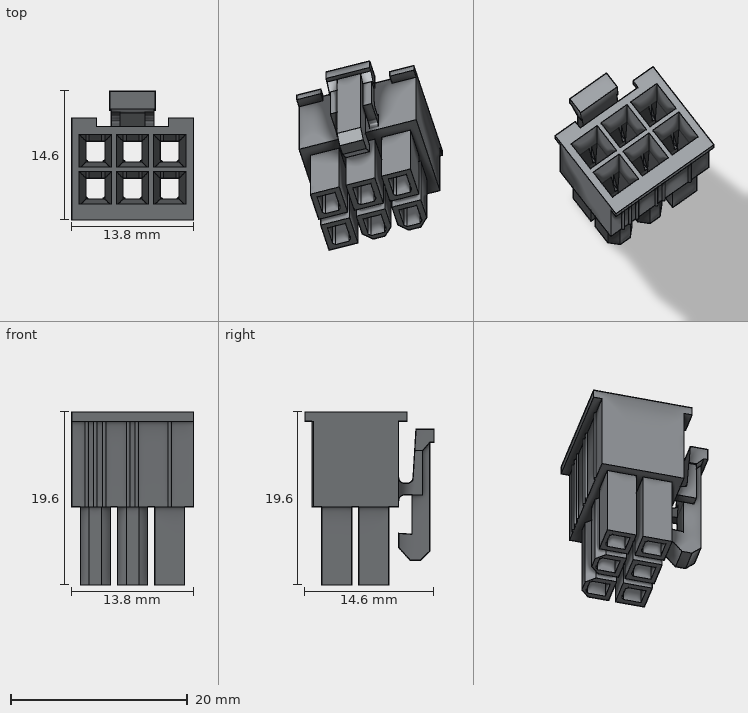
import cadquery as cq


total_height = 19.6
width = 13.8
flange_depth = 11.56
flange_thickness = 1.05
notch_width = 8.11
body_front = 0.98
body_back = 10.6
body_bottom = 8.85

pitch = 4.2
column_x = (-pitch, 0, pitch)
sleeve_size = 3.41
front_row_y = 1.88
row_y = (front_row_y, front_row_y + pitch)
sleeve_chamfer = 1.0

mouth_size = 3.67
passage_width = 2.12
passage_front_gap = 0.5
passage_depth = 2.33
passage_chamfer = 0.27
funnel_bottom = 9.8
funnel_height = 3.43
slot_width = 0.35

rib_radius = 0.2
rib_spacing = 1.0

latch_back = 14.6
head_width = 5.17
head_top = 17.65
head_bottom = 16.15
head_inner_y = 12.55
stem_width = 2.78
stem_back = 14.13
stem_inner_y = 12.1
latch_bottom = 2.82
arm_outer_width = 4.86
arm_back = 13.29
arm_bottom = 10.21
arm_top = 11.55
arm_side_top = 15.2
arm_fillet = 0.65
hook_corner_z = 5.78
hook_tip_z = 5.88
hook_nose_z = 4.25
tip_front_y = 11.9
tip_back_y = 13.07
tip_shoulder_z = 3.86


def block(x_size, x_mid, y0, y1, z0, z1):
    """Box centred on x_mid, spanning y0..y1 and z0..z1."""
    corner_plane = cq.Workplane("XY", origin=(x_mid, y0, z0))
    return corner_plane.box(x_size, y1 - y0, z1 - z0, centered=(True, False, False))


def side_plate(points, x_size):
    """Extrude a (Y, Z) outline symmetrically about X = 0."""
    return cq.Workplane("YZ").polyline(points).close().extrude(x_size / 2, both=True)


def make_housing():
    flange_bottom = total_height - flange_thickness
    flange = block(width, 0, 0, flange_depth, flange_bottom, total_height)
    notch = block(notch_width, 0, body_back, flange_depth, flange_bottom, total_height)
    body = block(width, 0, body_front, body_back, body_bottom, total_height)
    return flange.cut(notch).union(body)


def make_ribs():
    rib_x = []
    for index, x in enumerate(column_x):
        count = len(column_x) - index
        rib_x += [x + (i - (count - 1) / 2) * rib_spacing for i in range(count)]
    rib_height = total_height - flange_thickness - body_bottom
    return (
        cq.Workplane("XY", origin=(0, body_front, body_bottom))
        .pushPoints([(x, 0) for x in rib_x])
        .circle(rib_radius)
        .extrude(rib_height)
    )


def make_sleeve(x, front_y, chamfered):
    sleeve = block(sleeve_size, x, front_y, front_y + sleeve_size, 0, body_bottom)
    if chamfered:
        sleeve = sleeve.faces("<Y").edges("|Z").chamfer(sleeve_chamfer)
    return sleeve


def make_cavity(x, front_y):
    passage_front = front_y + passage_front_gap
    passage_back = passage_front + passage_depth
    side_inset = (mouth_size - passage_width) / 2
    mouth_back = passage_back + side_inset
    mouth_front = mouth_back - mouth_size

    passage = block(passage_width, x, passage_front, passage_back, 0, funnel_bottom)
    passage = passage.faces("<Y").edges("|Z").chamfer(passage_chamfer)

    funnel = (
        cq.Workplane("XY", origin=(x, (passage_front + passage_back) / 2, funnel_bottom))
        .rect(passage_width, passage_depth)
        .workplane(offset=funnel_height)
        .rect(passage_width + 2 * side_inset, passage_depth + 2 * side_inset)
        .loft()
    )
    column = block(mouth_size, x, mouth_front, mouth_back, funnel_bottom, total_height)
    mouth = block(mouth_size, x, mouth_front, mouth_back, funnel_bottom + funnel_height, total_height)
    cavity = passage.union(funnel.intersect(column)).union(mouth)

    for side in (-1, 1):
        slot_x = x + side * (passage_width - slot_width) / 2
        cavity = cavity.union(
            block(slot_width, slot_x, passage_front, mouth_back, funnel_bottom, total_height)
        )
    return cavity


def slope_y(z):
    """Y of the leaning inner face of the latch at height z."""
    lean = (head_inner_y - stem_inner_y) / (head_top - arm_bottom)
    return stem_inner_y + lean * (z - arm_bottom)


def make_latch():
    stem = side_plate(
        [
            (stem_back, head_top),
            (head_inner_y, head_top),
            (stem_inner_y, arm_bottom),
            (stem_inner_y, hook_corner_z),
            (body_back, hook_tip_z),
            (body_back, hook_nose_z),
            (tip_front_y, latch_bottom),
            (tip_back_y, latch_bottom),
            (stem_back, tip_shoulder_z),
        ],
        stem_width,
    )
    head = side_plate(
        [
            (latch_back, head_top),
            (head_inner_y, head_top),
            (slope_y(arm_side_top), arm_side_top),
            (arm_back, arm_side_top),
            (stem_back, head_bottom),
            (latch_back, head_bottom),
        ],
        head_width,
    )
    wall_front_y = body_back - arm_fillet
    arms = side_plate(
        [
            (arm_back, arm_bottom),
            (arm_back, arm_side_top),
            (slope_y(arm_side_top), arm_side_top),
            (slope_y(arm_top), arm_top),
            (body_back, arm_top),
            (body_back, arm_side_top),
            (wall_front_y, arm_side_top),
            (wall_front_y, body_bottom),
            (body_back, body_bottom),
            (body_back, arm_bottom),
        ],
        arm_outer_width,
    )
    margin = arm_fillet / 3
    inner_corners = cq.selectors.BoxSelector(
        (-arm_outer_width, body_back - margin, arm_bottom - margin),
        (arm_outer_width, stem_inner_y + margin, arm_top + margin),
    )
    arms = arms.edges("|X").edges(inner_corners).fillet(arm_fillet)
    arms = arms.cut(block(stem_width, 0, 0, latch_back, 0, total_height))
    arms = arms.cut(block(width, 0, 0, body_back, 0, total_height))
    return stem.union(head).union(arms)


result = make_housing().union(make_ribs()).union(make_latch())
for front_y in row_y:
    for x in column_x:
        chamfered = front_y == front_row_y and x != column_x[-1]
        result = result.union(make_sleeve(x, front_y, chamfered))
for front_y in row_y:
    for x in column_x:
        result = result.cut(make_cavity(x, front_y))